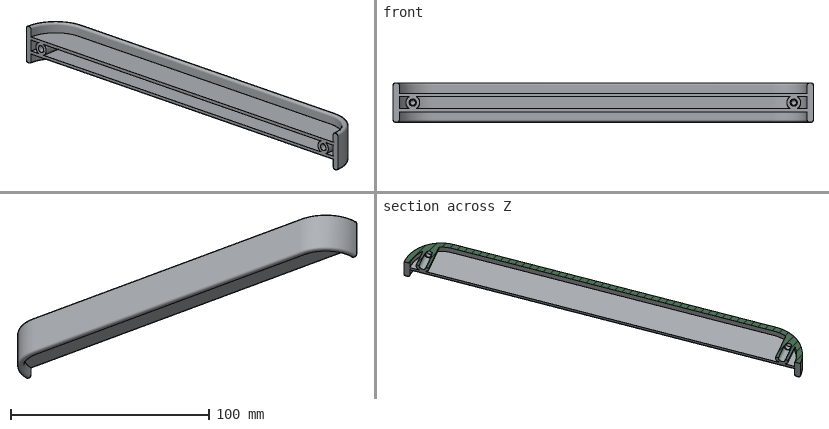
import cadquery as cq
import math

length = 212.0
depth = 20.0
height = 20.0

wall = 3.2
edge_round = 1.3
inner_depth = depth - wall

plate_gap = 6.0
plate_thickness = 1.7

boss_diameter = 7.0
boss_inset = 10.0
hole_diameter = 3.5
hole_depth = 8.5
pilot_diameter = 2.8
pilot_depth = 10.5
drill_tip_angle = 118.0


def rounded_profile(half_length, radius):
    """Flat-fronted outline whose back corners are quarter circles."""
    diagonal = radius * 0.5**0.5
    straight_end = half_length - radius
    return (
        cq.Workplane("XY")
        .moveTo(-half_length, 0)
        .lineTo(half_length, 0)
        .threePointArc((straight_end + diagonal, diagonal), (straight_end, radius))
        .lineTo(-straight_end, radius)
        .threePointArc((-straight_end - diagonal, diagonal), (-half_length, 0))
        .close()
    )


def centered_slab(half_length, radius, thickness):
    return rounded_profile(half_length, radius).extrude(thickness / 2, both=True)


outer = centered_slab(length / 2, depth, height)
inner = centered_slab(length / 2 - wall, inner_depth, height)
front_margin = 0.2
front_ends = cq.selectors.BoxSelector((-length, -front_margin, -height), (length, front_margin, height))
rims = cq.selectors.SubtractSelector(cq.selectors.StringSyntaxSelector("#Z"), front_ends)
result = outer.cut(inner).faces("<Z or >Z").edges(rims).fillet(edge_round)

plates = centered_slab(length / 2 - wall, inner_depth, plate_gap + 2 * plate_thickness)
plates = plates.cut(centered_slab(length / 2 - wall, inner_depth, plate_gap))
result = result.union(plates)

boss_x = length / 2 - boss_inset
boss_centers = [(-boss_x, 0), (boss_x, 0)]
front = cq.Workplane("XZ").pushPoints(boss_centers)
bosses = front.circle(boss_diameter / 2).extrude(-depth)
result = result.union(bosses.intersect(outer))


def drilled_hole(x, z):
    """Blind stepped hole from the front face, ending in a conical drill tip."""
    radius = hole_diameter / 2
    pilot_radius = pilot_diameter / 2
    tip_length = pilot_radius / math.tan(math.radians(drill_tip_angle / 2))
    section = (
        cq.Workplane("XY")
        .lineTo(radius, 0)
        .lineTo(radius, hole_depth)
        .lineTo(pilot_radius, hole_depth)
        .lineTo(pilot_radius, pilot_depth)
        .lineTo(0, pilot_depth + tip_length)
        .close()
    )
    return section.revolve(360, (0, 0), (0, 1)).translate((x, 0, z))


for x, z in boss_centers:
    result = result.cut(drilled_hole(x, z))